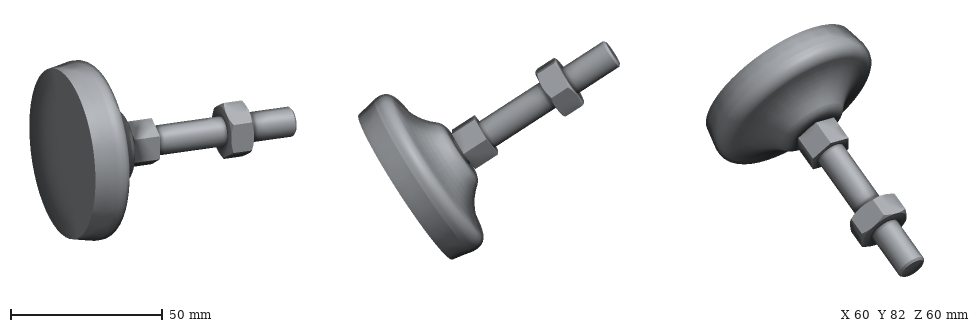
import cadquery as cq
import math

total_length = 82.0

pad_radius = 30.0
sole_radius = 28.5
taper_height = 7.4
band_height = 1.55
shoulder_radius = 4.0
flank_radius = 20.0
crown_height = 22.0
crown_rounding = 5.0
crown_flat_radius = 8.6
crown_rounding_angle = math.radians(45)

stud_radius = 5.0
stud_chamfer = 0.7

wrench_hex_flats = 14.0
wrench_hex_height = 9.0
wrench_hex_gap = 1.0
nut_flats = 17.05
nut_height = 8.1
nut_start = 56.9
nut_chamfer_angle = math.radians(30)


def arc_point(center, radius, angle):
    """Point on a circle at an angle measured from the first axis."""
    return (center[0] + radius * math.cos(angle), center[1] + radius * math.sin(angle))


def direction(start, end):
    """Angle of the line from start to end."""
    return math.atan2(end[1] - start[1], end[0] - start[0])


def make_pad():
    """Revolve the bell-shaped pad; profile points are (radius, height)."""
    band_top = taper_height + band_height
    shoulder_center = (pad_radius - shoulder_radius, band_top)
    crown_center = (crown_flat_radius, crown_height - crown_rounding)
    crown_end = arc_point(crown_center, crown_rounding, crown_rounding_angle)
    crown_middle_angle = (crown_rounding_angle + math.pi / 2) / 2

    flank_to_shoulder = flank_radius + shoulder_radius
    span = math.dist(crown_end, shoulder_center)
    cosine = (span**2 + flank_radius**2 - flank_to_shoulder**2) / (2 * span * flank_radius)
    center_angle = direction(crown_end, shoulder_center) + math.acos(cosine)
    flank_center = arc_point(crown_end, flank_radius, center_angle)

    shoulder_end_angle = direction(shoulder_center, flank_center)
    shoulder_end = arc_point(shoulder_center, shoulder_radius, shoulder_end_angle)
    flank_middle_angle = (
        direction(flank_center, shoulder_end) + direction(flank_center, crown_end)
    ) / 2

    profile = (
        cq.Workplane("XY")
        .lineTo(sole_radius, 0)
        .lineTo(pad_radius, taper_height)
        .lineTo(pad_radius, band_top)
        .threePointArc(
            arc_point(shoulder_center, shoulder_radius, shoulder_end_angle / 2), shoulder_end
        )
        .threePointArc(arc_point(flank_center, flank_radius, flank_middle_angle), crown_end)
        .threePointArc(
            arc_point(crown_center, crown_rounding, crown_middle_angle),
            (crown_flat_radius, crown_height),
        )
        .lineTo(0, crown_height)
        .close()
    )
    return profile.revolve(360, (0, 0), (0, 1))


def plane_at(height):
    """Work plane across the axis, facing +Y."""
    return cq.Workplane(cq.Plane(origin=(0, height, 0), xDir=(0, 0, 1), normal=(0, 1, 0)))


def make_stud():
    """Rod that rises out of the pad crown, chamfered at its free end."""
    rod = plane_at(crown_height).circle(stud_radius).extrude(total_length - crown_height)
    return rod.faces(">Y").chamfer(stud_chamfer)


def make_hex(flats, start, height):
    """Hexagonal prism with two corners on the Z direction."""
    corner_diameter = flats / math.cos(math.pi / 6)
    return plane_at(start).polygon(6, corner_diameter).extrude(height)


def make_nut():
    """Lock nut whose corners are turned down to a cone at both ends."""
    flat_radius = nut_flats / 2
    corner_radius = flat_radius / math.cos(math.pi / 6)
    corner_drop = (corner_radius - flat_radius) * math.tan(nut_chamfer_angle)
    nut_end = nut_start + nut_height
    turned_blank = (
        cq.Workplane("XY")
        .moveTo(0, nut_start)
        .lineTo(flat_radius, nut_start)
        .lineTo(corner_radius, nut_start + corner_drop)
        .lineTo(corner_radius, nut_end - corner_drop)
        .lineTo(flat_radius, nut_end)
        .lineTo(0, nut_end)
        .close()
        .revolve(360, (0, 0), (0, 1))
    )
    return make_hex(nut_flats, nut_start, nut_height).intersect(turned_blank)


wrench_hex = make_hex(wrench_hex_flats, crown_height + wrench_hex_gap, wrench_hex_height)
result = make_pad().union(make_stud()).union(wrench_hex).union(make_nut())